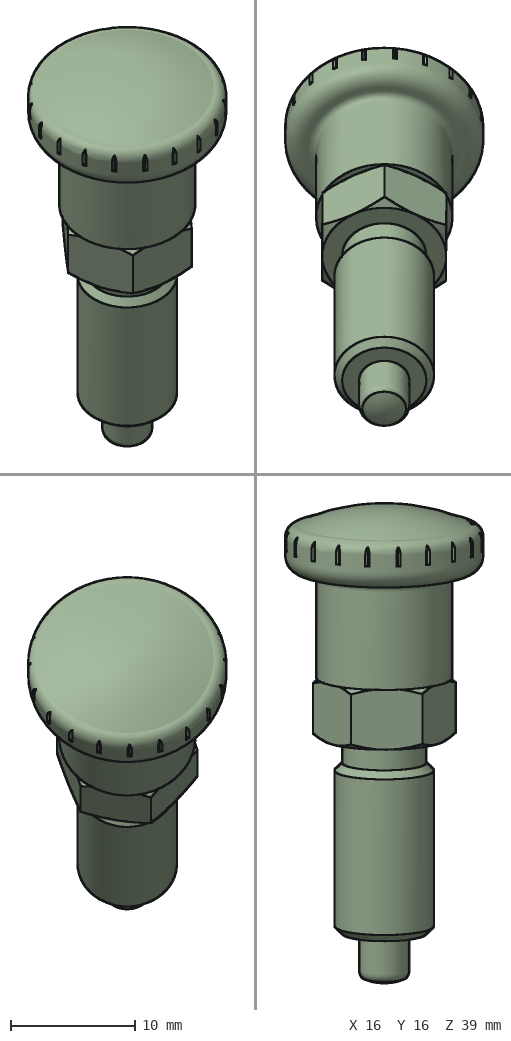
import cadquery as cq
import math

TOTAL_HEIGHT = 39.0

PIN_RADIUS = 2.03
TIP_EDGE_HEIGHT = 0.98
TIP_DOME_RADIUS = 1.75
TIP_DOME_HEIGHT = 0.4

SHANK_RADIUS = 4.0
SHANK_BOTTOM = 4.0
SHANK_TOP = 18.0
NECK_RADIUS = 3.4
SHANK_CHAMFER = SHANK_RADIUS - NECK_RADIUS
HEX_BOTTOM = 20.0
HEX_HEIGHT = 5.0
HEX_TOP = HEX_BOTTOM + HEX_HEIGHT
HEX_FLATS = 10.0
HEX_CORNER_RADIUS = HEX_FLATS / math.sqrt(3)
HEX_CHAMFER_ANGLE = 30.0

SLEEVE_RADIUS = 5.5
RIM_RADIUS = 8.0
RIM_BOTTOM = 33.6
RIM_TOP = 37.5
RIM_UPPER_FILLET = 1.0
RIM_LOWER_FILLET = 1.4
COVE_RADIUS = 0.6
DOME_RADIUS = RIM_RADIUS - RIM_UPPER_FILLET

GROOVE_COUNT = 20
GROOVE_WIDTH = 0.35
GROOVE_DEPTH = 0.2
GROOVE_BOTTOM = 35.55

QUARTER_ARC = math.sqrt(0.5)


def arc_height(chord_half, rise, offset):
    """Height of a crowned arc above its chord, at an offset from its middle."""
    radius = (chord_half**2 + rise**2) / (2 * rise)
    return math.sqrt(radius**2 - offset**2) - (radius - rise)


def hex_chamfer_barrel():
    """Barrel that trims both ends of the hexagon corners at the chamfer angle."""
    flat_radius = HEX_FLATS / 2
    outer_radius = HEX_FLATS
    drop = (outer_radius - flat_radius) * math.tan(math.radians(HEX_CHAMFER_ANGLE))
    return (
        cq.Workplane("XZ")
        .moveTo(0, HEX_BOTTOM)
        .lineTo(flat_radius, HEX_BOTTOM)
        .lineTo(outer_radius, HEX_BOTTOM + drop)
        .lineTo(outer_radius, HEX_TOP - drop)
        .lineTo(flat_radius, HEX_TOP)
        .lineTo(0, HEX_TOP)
        .close()
        .revolve()
    )


def make_housing():
    """Hexagon, neck and chamfered shank with a through bore for the pin."""
    hexagon = (
        cq.Workplane("XY", origin=(0, 0, HEX_BOTTOM))
        .polygon(6, 2 * HEX_CORNER_RADIUS)
        .extrude(HEX_HEIGHT)
        .intersect(hex_chamfer_barrel())
    )
    neck = (
        cq.Workplane("XY", origin=(0, 0, SHANK_TOP))
        .circle(NECK_RADIUS)
        .extrude(HEX_BOTTOM - SHANK_TOP)
    )
    shank = (
        cq.Workplane("XY", origin=(0, 0, SHANK_BOTTOM))
        .circle(SHANK_RADIUS)
        .extrude(SHANK_TOP - SHANK_BOTTOM)
        .edges()
        .chamfer(SHANK_CHAMFER)
    )
    bore = (
        cq.Workplane("XY", origin=(0, 0, SHANK_BOTTOM))
        .circle(PIN_RADIUS)
        .extrude(HEX_TOP - SHANK_BOTTOM)
    )
    return hexagon.union(neck).union(shank).cut(bore)


def plunger_profile():
    """Half section of the pin and knob, from the tip up to the crown."""
    tip_half = TIP_DOME_RADIUS / 2
    tip_middle = TIP_DOME_HEIGHT - arc_height(TIP_DOME_RADIUS, TIP_DOME_HEIGHT, tip_half)
    edge_inset = PIN_RADIUS - TIP_DOME_RADIUS
    edge_rise = TIP_EDGE_HEIGHT - TIP_DOME_HEIGHT
    edge_radius = (edge_inset**2 + edge_rise**2) / (2 * edge_inset)
    half_angle = math.asin(edge_rise / edge_radius) / 2
    edge_middle_r = PIN_RADIUS - edge_radius * (1 - math.cos(half_angle))
    edge_middle_z = TIP_EDGE_HEIGHT - edge_radius * math.sin(half_angle)
    lower_centre_r = RIM_RADIUS - RIM_LOWER_FILLET
    lower_centre_z = RIM_BOTTOM + RIM_LOWER_FILLET
    upper_centre_z = RIM_TOP - RIM_UPPER_FILLET
    cove_centre_r = SLEEVE_RADIUS + COVE_RADIUS
    cove_centre_z = RIM_BOTTOM - COVE_RADIUS
    dome_half = DOME_RADIUS / 2
    dome_middle = RIM_TOP + arc_height(DOME_RADIUS, TOTAL_HEIGHT - RIM_TOP, dome_half)
    return (
        cq.Workplane("XZ")
        .moveTo(0, 0)
        .threePointArc((tip_half, tip_middle), (TIP_DOME_RADIUS, TIP_DOME_HEIGHT))
        .threePointArc((edge_middle_r, edge_middle_z), (PIN_RADIUS, TIP_EDGE_HEIGHT))
        .lineTo(PIN_RADIUS, HEX_TOP)
        .lineTo(SLEEVE_RADIUS, HEX_TOP)
        .lineTo(SLEEVE_RADIUS, cove_centre_z)
        .threePointArc(
            (cove_centre_r - COVE_RADIUS * QUARTER_ARC, cove_centre_z + COVE_RADIUS * QUARTER_ARC),
            (cove_centre_r, RIM_BOTTOM),
        )
        .lineTo(lower_centre_r, RIM_BOTTOM)
        .threePointArc(
            (
                lower_centre_r + RIM_LOWER_FILLET * QUARTER_ARC,
                lower_centre_z - RIM_LOWER_FILLET * QUARTER_ARC,
            ),
            (RIM_RADIUS, lower_centre_z),
        )
        .lineTo(RIM_RADIUS, upper_centre_z)
        .threePointArc(
            (
                DOME_RADIUS + RIM_UPPER_FILLET * QUARTER_ARC,
                upper_centre_z + RIM_UPPER_FILLET * QUARTER_ARC,
            ),
            (DOME_RADIUS, RIM_TOP),
        )
        .threePointArc((dome_half, dome_middle), (0, TOTAL_HEIGHT))
        .close()
    )


def grip_grooves():
    """Upright V cutters that run out through the rounded upper edge of the rim."""
    root_radius = RIM_RADIUS - GROOVE_DEPTH
    outer_radius = RIM_RADIUS + GROOVE_DEPTH
    cutter = (
        cq.Workplane("XY", origin=(0, 0, GROOVE_BOTTOM))
        .polyline([(root_radius, 0), (outer_radius, GROOVE_WIDTH), (outer_radius, -GROOVE_WIDTH)])
        .close()
        .extrude(RIM_TOP - GROOVE_BOTTOM)
        .val()
    )
    pitch = 360 / GROOVE_COUNT
    cutters = [cutter.rotate((0, 0, 0), (0, 0, 1), i * pitch) for i in range(GROOVE_COUNT)]
    return cq.Compound.makeCompound(cutters)


def make_plunger():
    """Knob and pin that slide together through the housing."""
    return plunger_profile().revolve().cut(grip_grooves())


housing = make_housing()
plunger = make_plunger()

result = cq.Compound.makeCompound([housing.solids().val(), plunger.solids().val()])